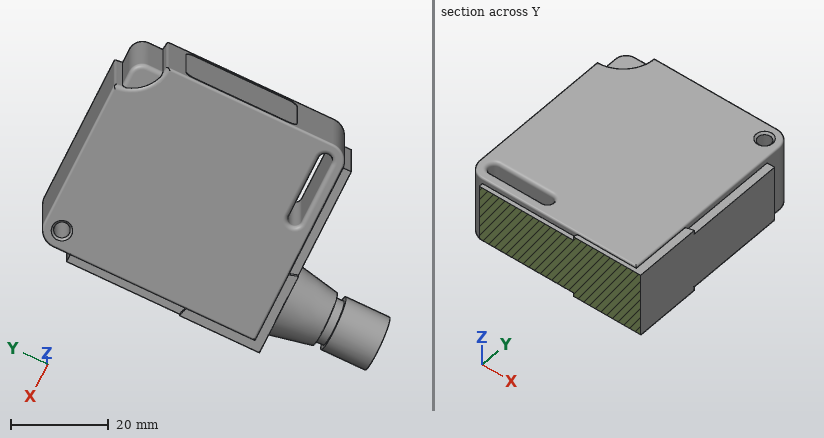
import cadquery as cq
import math

body_x = 45.0
body_y = 50.0
body_z = 18.0
mid_z = body_z / 2
corner_radius = 4.0
rim_round = 0.5
opening_round = 1.0

notch_radius = 8.0
post_inset = 1.6
post_end_gap = 0.5
post_corner_radius = 3.0
post_round = 1.0

hole_diameter = 3.4
hole_chamfer = 0.5
slot_width = 3.0
slot_center_distance = 14.0

rail_overhang = 2.0
rail_end_gap = 0.5
rail_step = 1.0
rail_rear_setback = 8.0
step_arc_radius = 25.0
step_arc_offset = 6.0

window_length = 25.4
window_height = 15.2
window_radius = 2.0
window_depth = 0.1

connector_x = 37.0
cone_radius = 8.0
plug_radius = 6.0
neck_radius = 5.0
cone_length = 10.0
neck_length = 2.0
plug_length = 10.0


def block(x_min, x_max, y_min, y_max, z_gap):
    """Box between the given sides, inset by z_gap from both housing faces."""
    height = body_z - 2 * z_gap
    return (
        cq.Workplane("XY", origin=(x_min, y_min, z_gap))
        .box(x_max - x_min, y_max - y_min, height, centered=False)
    )


def notch_cylinder(radius):
    """Full-height cylinder about the rear left corner."""
    return cq.Workplane("XY").center(0, body_y).circle(radius).extrude(body_z)


def make_housing():
    """Housing block with rounded corners, corner notch and rounded rims."""
    housing = block(0, body_x, 0, body_y, 0)
    housing = housing.edges("|Z and ((<X and <Y) or (>X and >Y))").fillet(corner_radius)
    housing = housing.cut(notch_cylinder(notch_radius))
    notch_ends = cq.selectors.BoxSelector(
        (-rim_round, body_y - notch_radius - rim_round, 0),
        (notch_radius + rim_round, body_y + rim_round, body_z),
    )
    housing = housing.edges("|Z").edges(notch_ends).fillet(rim_round)
    housing = housing.faces("<Z or >Z").edges().fillet(rim_round)
    return housing.cut(flared_notch())


def flared_notch():
    """Notch cylinder whose two ends flare out to round the notch edges."""
    wide_radius = notch_radius + opening_round
    bend = opening_round * math.sin(math.radians(45))
    bend_radius = wide_radius - bend
    bend_z = opening_round - bend
    profile = (
        cq.Workplane("XZ", origin=(0, body_y, 0))
        .moveTo(0, 0)
        .lineTo(wide_radius, 0)
        .threePointArc((bend_radius, bend_z), (notch_radius, opening_round))
        .lineTo(notch_radius, body_z - opening_round)
        .threePointArc((bend_radius, body_z - bend_z), (wide_radius, body_z))
        .lineTo(0, body_z)
        .close()
    )
    return profile.revolve(360, (0, 0, 0), (0, 1, 0))


def cut_slot(housing):
    """Cut the slot through and round its mouth on both faces."""
    slot_center_x = corner_radius + slot_center_distance / 2
    cutter = (
        cq.Workplane("XY")
        .center(slot_center_x, corner_radius)
        .slot2D(slot_center_distance + slot_width, slot_width)
        .extrude(body_z)
    )
    slotted = housing.cut(cutter)
    mouth = cq.selectors.BoxSelector(
        (corner_radius - slot_width, corner_radius - slot_width, -rim_round),
        (2 * slot_center_x, corner_radius + slot_width, body_z + rim_round),
    )
    return slotted.faces("<Z or >Z").edges(mouth).fillet(opening_round)


def cut_hole(housing):
    """Drill the mounting hole through and chamfer both ends."""
    hole_point = (body_x - corner_radius, body_y - corner_radius)
    drill = cq.Workplane("XY").center(*hole_point).circle(hole_diameter / 2).extrude(body_z)
    drilled = housing.cut(drill)
    mouth = cq.selectors.RadiusNthSelector(0)
    return drilled.faces("<Z or >Z").edges("%CIRCLE").edges(mouth).chamfer(hole_chamfer)


def cut_window(housing):
    """Sink the rounded window slightly into the left side."""
    cutter = (
        cq.Workplane("YZ", origin=(0, body_y / 2, mid_z))
        .rect(window_length, window_height)
        .extrude(window_depth)
        .edges("|X")
        .fillet(window_radius)
    )
    return housing.cut(cutter)


def make_post():
    """Corner post that fills the notch up to a small inset."""
    inner_x = post_inset + 2 * notch_radius
    inner_y = body_y - post_inset - 2 * notch_radius
    post = block(post_inset, inner_x, inner_y, body_y - post_inset, post_end_gap)
    post = post.edges("|Z and <X and >Y").fillet(post_corner_radius)
    post = post.faces("<Z or >Z").edges().fillet(post_round)
    return post.intersect(notch_cylinder(notch_radius + opening_round))


def make_rail():
    """Rail that is full height near the connector and stepped down beyond an arc."""
    outer_x = body_x + rail_overhang
    front_y = -rail_overhang
    sides = (corner_radius, outer_x, front_y, body_y - rail_rear_setback)
    stepped_rail = block(*sides, rail_end_gap + rail_step)
    arc_center = (outer_x + step_arc_offset, front_y - step_arc_offset)
    arc_zone = cq.Workplane("XY").center(*arc_center).circle(step_arc_radius).extrude(body_z)
    full_rail = block(*sides, rail_end_gap).intersect(arc_zone)
    inside = block(corner_radius, body_x - corner_radius, corner_radius, body_y, 0)
    return stepped_rail.union(full_rail).cut(inside)


def make_connector():
    """Tapered collar, narrow neck and cylindrical plug on one axis."""
    cone_end = cone_length
    neck_end = cone_end + neck_length
    plug_end = neck_end + plug_length
    profile = (
        cq.Workplane("XY", origin=(connector_x, -rail_overhang, mid_z))
        .moveTo(0, 0)
        .lineTo(cone_radius, 0)
        .lineTo(plug_radius, -cone_end)
        .lineTo(neck_radius, -cone_end)
        .lineTo(neck_radius, -neck_end)
        .lineTo(plug_radius, -neck_end)
        .lineTo(plug_radius, -plug_end)
        .lineTo(0, -plug_end)
        .close()
    )
    return profile.revolve(360, (0, 0, 0), (0, 1, 0))


housing = make_housing().union(make_post()).union(make_rail())
housing = cut_window(cut_hole(cut_slot(housing)))
result = housing.union(make_connector())